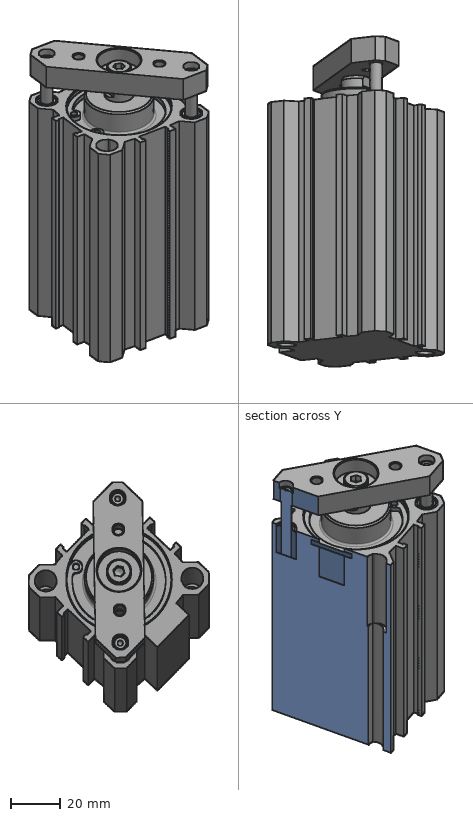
import cadquery as cq
import math

TOTAL_HEIGHT = 122.0
BODY_HEIGHT = 99.5
PLATE_THICKNESS = 10.0

BODY_WIDTH = 55.0
WALL_HALF = 23.4
WALL_END_HALF = 23.0
SLOT_FLOOR_HALF = 23.2
CORNER_FACE_END = 24.0
LOBE_FACE_START = 18.0
LIP_TOP_HALF = 27.1
LIP_HOOK_DEPTH = 1.7
LIP_ROOT = 22.5
LIP_OUTER = 8.8
LIP_INNER = 6.5
HOOK_INNER = 6.0
PORT_WIDTH = 18.4
PORT_ROOT = 22.0
PORT_FACE = 30.5
CORNER_OFFSET = 21.0

MOUNT_BORE_DIA = 8.8
MOUNT_BORE_DEPTH = 36.6
LENS_CENTRE = 20.6
LENS_LENGTH = 8.0
LENS_WIDTH = 6.3

BORE_DIA = 42.2
BORE_CHAMFER = 0.4
BORE_DEPTH = 19.5
GROOVE_DIA = 44.7

RING_TOP_DEPTH = 2.0
RING_THICKNESS = 2.0
RING_INNER_DIA = 37.8
EAR_RADIUS = 2.6
EAR_FILLET = 1.5
EAR_HOLE_DIA = 2.7
EAR_CENTRE_RADIUS = 18.3
EAR_ANGLES = (-28.5, 25.7)

BOSS_DIA = 28.0
BOSS_TOP = 105.4
BOSS_CHAMFER = 0.7
BOSS_FILLET = 0.9

ROD_DIA = 12.0
NECK_DIA = 10.0
NECK_TIP_DIA = 9.0
NECK_TOP = 119.0
ROD_CHAMFER_HEIGHT = 1.3
ROD_CHAMFER_WIDTH = 0.6
FLAT_WIDTH = 10.0
FLAT_BOTTOM = 107.7
FLAT_RAMP_HEIGHT = 1.0
SOCKET_FLATS = 4.0
SOCKET_DEPTH = 3.0
SOCKET_TIP_DEPTH = 1.2

GUIDE_DIA = 5.0
GUIDE_HEAD_DIA = 5.5
GUIDE_HEAD_CHAMFER = 0.4
CENTRE_HOLE_DIA = 2.2
BUSHING_DIA = 9.0
BUSHING_MOUTH_DIA = 5.5
BUSHING_CHAMFER = 0.9
BUSHING_TOP_DEPTH = 0.2
BUSHING_LENGTH = 14.6

PLATE_HALF = 27.0
PLATE_WIDTH = 20.0
PLATE_CORNER_END = 24.0
RECESS_DIA = 17.6
RECESS_DEPTH = 6.7
RECESS_CHAMFER = 0.4
GUIDE_RECESS_DIA = 6.5
GUIDE_RECESS_DEPTH = 2.6
THREAD_OFFSET = 11.7
THREAD_DIA = 4.1
THREAD_MOUTH_DIA = 5.0

BODY_HALF = BODY_WIDTH / 2
PLATE_BOTTOM = TOTAL_HEIGHT - PLATE_THICKNESS
RING_TOP = BODY_HEIGHT - RING_TOP_DEPTH
RING_BOTTOM = RING_TOP - RING_THICKNESS
BORE_FLOOR = BODY_HEIGHT - BORE_DEPTH
BUSHING_TOP = BODY_HEIGHT - BUSHING_TOP_DEPTH
BUSHING_BOTTOM = BUSHING_TOP - BUSHING_LENGTH
GUIDE_TOP = TOTAL_HEIGHT - GUIDE_RECESS_DEPTH

GUIDE_POINTS = [(-CORNER_OFFSET, -CORNER_OFFSET), (CORNER_OFFSET, CORNER_OFFSET)]
MOUNT_POINTS = [(-CORNER_OFFSET, CORNER_OFFSET), (CORNER_OFFSET, -CORNER_OFFSET)]


def cylinder(diameter, bottom, top, centre=(0, 0)):
    return cq.Workplane("XY", origin=(*centre, bottom)).circle(diameter / 2).extrude(top - bottom)


def cone(bottom_dia, top_dia, bottom, top, centre=(0, 0)):
    solid = cq.Solid.makeCone(bottom_dia / 2, top_dia / 2, top - bottom, cq.Vector(*centre, bottom))
    return cq.Workplane(obj=solid)


def rotated(point, quarter_turns):
    x, y = point
    for _ in range(quarter_turns):
        x, y = -y, x
    return x, y


def housing_core():
    """Square tube with four corner lobes, drawn one quarter turn at a time from the -Y side."""
    lobe_root = LOBE_FACE_START - (BODY_HALF - WALL_END_HALF)
    side = [
        (-LOBE_FACE_START, -BODY_HALF),
        (-lobe_root, -WALL_END_HALF),
        (-LIP_OUTER, -WALL_HALF),
        (-LIP_OUTER, -SLOT_FLOOR_HALF),
        (LIP_OUTER, -SLOT_FLOOR_HALF),
        (LIP_OUTER, -WALL_HALF),
        (lobe_root, -WALL_END_HALF),
        (LOBE_FACE_START, -BODY_HALF),
        (CORNER_FACE_END, -BODY_HALF),
    ]
    corner_mid = math.hypot(BODY_HALF, CORNER_FACE_END) / math.sqrt(2)
    outline = cq.Workplane("XY").moveTo(-CORNER_FACE_END, -BODY_HALF)
    for turn in range(4):
        for point in side:
            outline = outline.lineTo(*rotated(point, turn))
        outline = outline.threePointArc(
            rotated((corner_mid, -corner_mid), turn),
            rotated((BODY_HALF, -CORNER_FACE_END), turn),
        )
    return outline.close().extrude(BODY_HEIGHT)


def slot_lip(quarter_turns, mirror):
    """Hooked lip along one edge of a sensor slot."""
    hook_base = LIP_TOP_HALF - LIP_HOOK_DEPTH
    profile = [
        (LIP_OUTER, -LIP_ROOT),
        (LIP_OUTER, -LIP_TOP_HALF),
        (HOOK_INNER, -LIP_TOP_HALF),
        (HOOK_INNER, -hook_base),
        (LIP_INNER, -hook_base),
        (LIP_INNER, -LIP_ROOT),
    ]
    points = [rotated((mirror * x, y), quarter_turns) for x, y in profile]
    return cq.Workplane("XY").polyline(points).close().extrude(BODY_HEIGHT)


def lens_hole(side):
    """Through passage with a pointed-oval section, its long axis pointing at the bore axis."""
    def along(radial, tangential):
        x = LENS_CENTRE + (radial + tangential) / math.sqrt(2)
        y = -LENS_CENTRE - (radial - tangential) / math.sqrt(2)
        return side * x, side * y

    half_length = LENS_LENGTH / 2
    half_width = LENS_WIDTH / 2
    return (
        cq.Workplane("XY")
        .moveTo(*along(-half_length, 0))
        .threePointArc(along(0, half_width), along(half_length, 0))
        .threePointArc(along(0, -half_width), along(-half_length, 0))
        .close()
        .extrude(BODY_HEIGHT)
    )


def make_housing():
    body = housing_core()
    for quarter_turns in (0, 1, 3):
        for mirror in (-1, 1):
            body = body.union(slot_lip(quarter_turns, mirror))
    port_block = (
        cq.Workplane("XY")
        .center(0, (PORT_FACE + PORT_ROOT) / 2)
        .rect(PORT_WIDTH, PORT_FACE - PORT_ROOT)
        .extrude(BODY_HEIGHT)
    )
    body = body.union(port_block)
    body = body.cut(cylinder(BORE_DIA, BORE_FLOOR, BODY_HEIGHT))
    mouth = BORE_DIA + 2 * BORE_CHAMFER
    body = body.cut(cone(BORE_DIA, mouth, BODY_HEIGHT - BORE_CHAMFER, BODY_HEIGHT))
    body = body.cut(cylinder(GROOVE_DIA, RING_BOTTOM, RING_TOP))
    for point in MOUNT_POINTS:
        body = body.cut(lens_hole(math.copysign(1, point[0])))
        body = body.cut(cylinder(MOUNT_BORE_DIA, BODY_HEIGHT - MOUNT_BORE_DEPTH, BODY_HEIGHT, point))
    for point in GUIDE_POINTS:
        body = body.cut(cylinder(BUSHING_DIA, BUSHING_BOTTOM, BODY_HEIGHT, point))
    return body


def make_rod_cover():
    flange = cylinder(BORE_DIA, BORE_FLOOR, RING_BOTTOM)
    boss = cylinder(BOSS_DIA, RING_BOTTOM, BOSS_TOP).faces(">Z").chamfer(BOSS_CHAMFER)
    cover = flange.union(boss)
    margin = BOSS_FILLET / 2
    inner_corner = cq.selectors.BoxSelector(
        (-BOSS_DIA, -BOSS_DIA, RING_BOTTOM - margin), (BOSS_DIA, BOSS_DIA, RING_BOTTOM + margin)
    )
    cover = cover.edges(inner_corner).edges(cq.selectors.RadiusNthSelector(0)).fillet(BOSS_FILLET)
    return cover.cut(cylinder(ROD_DIA, BORE_FLOOR, BOSS_TOP))


def make_retaining_ring():
    ring = cylinder(GROOVE_DIA, RING_BOTTOM, RING_TOP)
    ring = ring.cut(cylinder(RING_INNER_DIA, RING_BOTTOM, RING_TOP))
    mouth_y = -GROOVE_DIA
    mouth = [(-mouth_y * math.tan(math.radians(angle)), mouth_y) for angle in EAR_ANGLES]
    gap = (
        cq.Workplane("XY", origin=(0, 0, RING_BOTTOM))
        .polyline([(0, 0), *mouth])
        .close()
        .extrude(RING_THICKNESS)
    )
    ring = ring.cut(gap)
    hole_centres = []
    for angle in EAR_ANGLES:
        turn = math.radians(angle)
        centre = (EAR_CENTRE_RADIUS * math.sin(turn), -EAR_CENTRE_RADIUS * math.cos(turn))
        ring = ring.union(cylinder(2 * EAR_RADIUS, RING_BOTTOM, RING_TOP, centre))
        hole_centres.append(centre)
    ear_roots = "|Z and (<X or >X)"
    ring = ring.edges(ear_roots).fillet(EAR_FILLET)
    for centre in hole_centres:
        ring = ring.cut(cylinder(EAR_HOLE_DIA, RING_BOTTOM, RING_TOP, centre))
    return ring


def make_piston_rod():
    shank = cylinder(ROD_DIA, BORE_FLOOR, PLATE_BOTTOM - ROD_CHAMFER_HEIGHT)
    shoulder_dia = ROD_DIA - 2 * ROD_CHAMFER_WIDTH
    shoulder = cone(ROD_DIA, shoulder_dia, PLATE_BOTTOM - ROD_CHAMFER_HEIGHT, PLATE_BOTTOM)
    neck = cylinder(NECK_DIA, PLATE_BOTTOM, NECK_TOP)
    neck = neck.faces(">Z").chamfer((NECK_DIA - NECK_TIP_DIA) / 2)
    rod = shank.union(shoulder).union(neck)
    for side in (-1, 1):
        flat_y = side * FLAT_WIDTH / 2
        outer_y = side * ROD_DIA / 2
        flat = (
            cq.Workplane("YZ", origin=(-ROD_DIA / 2, 0, 0))
            .polyline(
                [
                    (flat_y, PLATE_BOTTOM),
                    (flat_y, FLAT_BOTTOM),
                    (outer_y, FLAT_BOTTOM - FLAT_RAMP_HEIGHT),
                    (outer_y, PLATE_BOTTOM),
                ]
            )
            .close()
            .extrude(ROD_DIA)
        )
        rod = rod.cut(flat)
    socket_floor = NECK_TOP - SOCKET_DEPTH
    socket_corners = SOCKET_FLATS / math.cos(math.pi / 6)
    socket = (
        cq.Workplane("XY", origin=(0, 0, socket_floor)).polygon(6, socket_corners).extrude(SOCKET_DEPTH)
    )
    rod = rod.cut(socket)
    return rod.cut(cone(0, SOCKET_FLATS, socket_floor - SOCKET_TIP_DEPTH, socket_floor))


def make_guide_rod(point):
    head = cylinder(GUIDE_HEAD_DIA, PLATE_BOTTOM, GUIDE_TOP, point).faces(">Z").chamfer(GUIDE_HEAD_CHAMFER)
    rod = cylinder(GUIDE_DIA, BUSHING_BOTTOM, PLATE_BOTTOM, point).union(head)
    return rod.cut(cone(0, CENTRE_HOLE_DIA, GUIDE_TOP - CENTRE_HOLE_DIA / 2, GUIDE_TOP, point))


def make_bushing(point):
    bushing = cylinder(BUSHING_DIA, BUSHING_BOTTOM, BUSHING_TOP, point).faces(">Z").chamfer(BUSHING_CHAMFER)
    bushing = bushing.cut(cylinder(GUIDE_DIA, BUSHING_BOTTOM, BUSHING_TOP, point))
    mouth_depth = (BUSHING_MOUTH_DIA - GUIDE_DIA) / 2
    return bushing.cut(cone(GUIDE_DIA, BUSHING_MOUTH_DIA, BUSHING_TOP - mouth_depth, BUSHING_TOP, point))


def make_plate():
    near = PLATE_HALF - PLATE_WIDTH / math.sqrt(2)
    half = [
        (near, PLATE_HALF),
        (PLATE_CORNER_END, PLATE_HALF),
        (PLATE_HALF, PLATE_CORNER_END),
        (PLATE_HALF, near),
    ]
    outline = half + [(-x, -y) for x, y in half]
    base = cq.Workplane("XY", origin=(0, 0, PLATE_BOTTOM))
    plate = base.polyline(outline).close().extrude(PLATE_THICKNESS)
    recess_floor = TOTAL_HEIGHT - RECESS_DEPTH
    plate = plate.cut(cylinder(RECESS_DIA, recess_floor, TOTAL_HEIGHT))
    mouth = RECESS_DIA + 2 * RECESS_CHAMFER
    plate = plate.cut(cone(RECESS_DIA, mouth, TOTAL_HEIGHT - RECESS_CHAMFER, TOTAL_HEIGHT))
    plate = plate.cut(cylinder(NECK_DIA, PLATE_BOTTOM, recess_floor))
    for point in GUIDE_POINTS:
        plate = plate.cut(cylinder(GUIDE_HEAD_DIA, PLATE_BOTTOM, GUIDE_TOP, point))
        plate = plate.cut(cylinder(GUIDE_RECESS_DIA, GUIDE_TOP - GUIDE_HEAD_CHAMFER, TOTAL_HEIGHT, point))
    mouth_depth = (THREAD_MOUTH_DIA - THREAD_DIA) / 2
    for sign in (-1, 1):
        point = (sign * THREAD_OFFSET, sign * THREAD_OFFSET)
        plate = plate.cut(cylinder(THREAD_DIA, PLATE_BOTTOM, TOTAL_HEIGHT, point))
        plate = plate.cut(
            cone(THREAD_DIA, THREAD_MOUTH_DIA, TOTAL_HEIGHT - mouth_depth, TOTAL_HEIGHT, point)
        )
    return plate


housing = make_housing()
rod_cover = make_rod_cover()
retaining_ring = make_retaining_ring()
piston_rod = make_piston_rod()
plate = make_plate()
guide_rods = [make_guide_rod(point) for point in GUIDE_POINTS]
bushings = [make_bushing(point) for point in GUIDE_POINTS]

result = cq.Compound.makeCompound(
    [
        housing.val(),
        rod_cover.val(),
        retaining_ring.val(),
        piston_rod.val(),
        plate.val(),
        *[rod.val() for rod in guide_rods],
        *[bushing.val() for bushing in bushings],
    ]
)